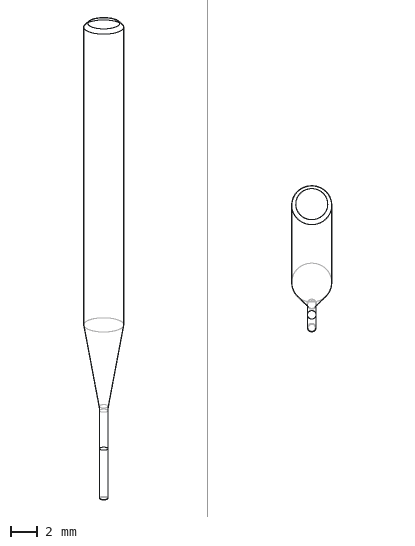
import cadquery as cq
import math

total_length = 38.0
cutter_length = 4.0
neck_top = 7.03

shank_diameter = 3.0
cutter_diameter = 0.65

cone_half_angle = math.radians(10)
flare_radius = 2.0

shank_chamfer = 0.3
tip_corner_radius = 0.057

shank_radius = shank_diameter / 2
neck_radius = cutter_diameter / 2
cone_bottom = neck_top + flare_radius * math.sin(cone_half_angle)
cone_bottom_radius = neck_radius + flare_radius * (1 - math.cos(cone_half_angle))
cone_top = cone_bottom + (shank_radius - cone_bottom_radius) / math.tan(cone_half_angle)


def make_shank():
    """Shank with chamfered end, long cone, concave flare and slender neck, revolved about Z."""
    return (
        cq.Workplane("XZ")
        .moveTo(0, cutter_length)
        .lineTo(neck_radius, cutter_length)
        .lineTo(neck_radius, neck_top)
        .tangentArcPoint((cone_bottom_radius, cone_bottom), relative=False)
        .lineTo(shank_radius, cone_top)
        .lineTo(shank_radius, total_length - shank_chamfer)
        .lineTo(shank_radius - shank_chamfer, total_length)
        .lineTo(0, total_length)
        .close()
        .revolve(360, (0, 0, 0), (0, 1, 0))
    )


def make_cutter():
    """Cylindrical cutting head with a rounded tip corner, seated flat against the neck."""
    return (
        cq.Workplane("XY")
        .circle(cutter_diameter / 2)
        .extrude(cutter_length)
        .faces("<Z")
        .edges()
        .fillet(tip_corner_radius)
    )


shank = make_shank()
cutter = make_cutter()

result = cq.Compound.makeCompound([shank.val(), cutter.val()])